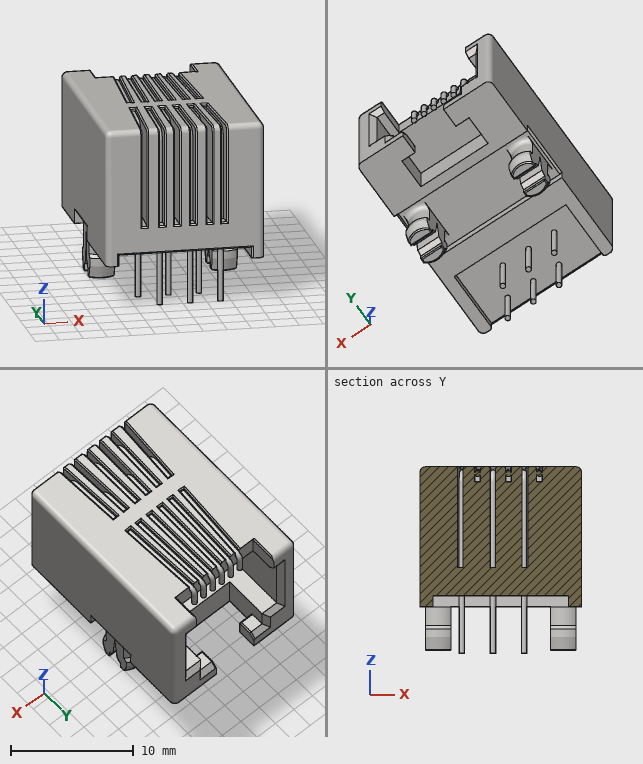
import cadquery as cq
import math

width = 13.2
depth = 18.0
overall_height = 15.25
pin_length = 3.8
height = overall_height - pin_length
edge_radius = 0.5

cavity_width = 9.8
cavity_start_y = 8.5
cavity_floor_z = 3.1
roof_thickness = 1.85
cavity_ceiling_z = height - roof_thickness
mouth_chamfer = 0.48

notch_width = 8.34
notch_start_y = 15.42
notch_edge_bevel = 0.12

latch_width = 6.64
latch_start_y = 13.5
catch_gap = 4.04
catch_start_y = 16.22
catch_top_z = 1.5
catch_chamfer = 0.12

post_y = 10.11
channel_width = 4.95
channel_height = 1.05
channel_rim = 0.2
recess_width = 11.05
recess_height = 0.9
recess_end_y = 5.5
recess_rim = 0.15

post_x = 5.1
post_thickness = 2.1
post_radius = 1.51
barb_radius = 1.79
post_fillet = 0.5
barb_shoulder_z = -1.54
barb_top_z = -1.81
barb_bottom_z = -2.49
post_end_z = -3.58
post_end_chamfer = 0.1
split_half_width = 0.25
split_flare_z = -2.92
split_end_half_width = 0.68

wire_count = 6
wire_diameter = 0.46
pin_pitch = 1.27
contact_pitch = 0.98
pin_row_y = (3.77, 1.23)
wire_depth = 0.5
wire_z = height - wire_depth
pin_bend_radius = 0.75
contact_bend_radius = 0.4
contact_tip_y = 15.98
contact_drop = 0.5
contact_end_z = cavity_ceiling_z - contact_drop

slot_width = 0.42
slot_chamfer = 0.12
front_slot_bottom_z = 3.22
front_slot_end_y = 6.45
rear_slot_start_y = 8.06
slot_overcut = 0.1

tolerance = 0.01


def block(x_range, y_range, z_range):
    """Box spanning the given ranges."""
    size = [high - low for low, high in (x_range, y_range, z_range)]
    corner = (x_range[0], y_range[0], z_range[0])
    return cq.Workplane("XY").box(*size, centered=False).translate(corner)


def centred_block(x_width, y_range, z_range):
    """Box centred on X = 0."""
    return block((-x_width / 2, x_width / 2), y_range, z_range)


def make_shell():
    """Outer block with its upright and top edges rounded."""
    shell = centred_block(width, (0, depth), (0, height))
    return shell.edges("|Z or >Z").fillet(edge_radius)


def cut_plug_opening(body):
    """Cavity with a flared mouth, roof notch and latch channel."""
    cavity = centred_block(cavity_width, (cavity_start_y, depth), (cavity_floor_z, cavity_ceiling_z))
    latch = centred_block(latch_width, (latch_start_y, depth), (0, cavity_floor_z))
    notch = (
        cq.Workplane("XZ", origin=(0, notch_start_y, 0))
        .polyline([
            (-notch_width / 2 - notch_edge_bevel, height),
            (notch_width / 2 + notch_edge_bevel, height),
            (notch_width / 2, height - notch_edge_bevel),
            (notch_width / 2, cavity_ceiling_z),
            (-notch_width / 2, cavity_ceiling_z),
            (-notch_width / 2, height - notch_edge_bevel),
        ])
        .close()
        .extrude(notch_start_y - depth)
    )
    flare = (
        cq.Workplane("XZ", origin=(0, depth, 0))
        .center(0, (cavity_floor_z + cavity_ceiling_z) / 2)
        .rect(cavity_width + 2 * mouth_chamfer, cavity_ceiling_z - cavity_floor_z + 2 * mouth_chamfer)
        .extrude(mouth_chamfer, taper=45)
    )
    latch_flare = (
        cq.Workplane("XY")
        .polyline([
            (-latch_width / 2 - mouth_chamfer, depth),
            (-latch_width / 2, depth - mouth_chamfer),
            (latch_width / 2, depth - mouth_chamfer),
            (latch_width / 2 + mouth_chamfer, depth),
        ])
        .close()
        .extrude(cavity_floor_z)
    )
    for cutter in (cavity, latch, notch, flare, latch_flare):
        body = body.cut(cutter)
    return body


def make_catch(side):
    """Catch beside the latch channel; side is -1 or 1."""
    x_range = sorted((side * catch_gap / 2, side * (latch_width / 2 + mouth_chamfer)))
    catch = block(x_range, (catch_start_y, depth), (0, catch_top_z))
    inner_side = ">X" if side < 0 else "<X"
    catch = catch.faces(">Z").edges(">Y").chamfer(mouth_chamfer)
    catch = catch.faces(inner_side).edges("not(<Z or |Z)").chamfer(catch_chamfer)
    return catch.faces(">Z").edges("<Y").chamfer(catch_chamfer)


def cut_underside(body):
    """Front recess and cross channel, each with a bevelled outer rim."""
    channel_start_y = post_y - channel_width / 2
    channel_end_y = post_y + channel_width / 2
    recess = centred_block(recess_width, (0, recess_end_y), (0, recess_height))
    recess_flare = (
        cq.Workplane("XZ")
        .rect(recess_width + 2 * recess_rim, 2 * (recess_height + recess_rim))
        .extrude(-recess_rim, taper=45)
    )
    channel = centred_block(width, (channel_start_y, channel_end_y), (0, channel_height))
    body = body.cut(recess).cut(recess_flare).cut(channel)
    rim_z = channel_height + channel_rim
    rim = (
        cq.Workplane("XZ", origin=(0, channel_start_y, 0))
        .polyline([
            (width / 2, channel_height),
            (width / 2, rim_z),
            (width / 2 - channel_rim, channel_height),
        ])
        .close()
        .extrude(-channel_width)
    )
    return body.cut(rim).cut(rim.mirror("YZ"))


def make_post():
    """Post on the Z axis."""
    fillet_z = channel_height - post_fillet
    fillet_radius = post_radius + post_fillet
    arc_offset = post_fillet * math.sqrt(0.5)
    peg = (
        cq.Workplane("XZ")
        .moveTo(0, channel_height)
        .lineTo(fillet_radius, channel_height)
        .threePointArc((fillet_radius - arc_offset, fillet_z + arc_offset), (post_radius, fillet_z))
        .lineTo(post_radius, barb_shoulder_z)
        .lineTo(barb_radius, barb_top_z)
        .lineTo(barb_radius, barb_bottom_z)
        .lineTo(post_radius, post_end_z)
        .lineTo(0, post_end_z)
        .close()
        .revolve(360, (0, 0, 0), (0, 1, 0))
    )
    flats = centred_block(post_thickness, (-2 * barb_radius, 2 * barb_radius), (post_end_z, channel_height))
    split = (
        cq.Workplane("YZ")
        .polyline([
            (0, 0),
            (split_half_width, barb_bottom_z),
            (split_end_half_width, split_flare_z),
            (split_end_half_width, post_end_z),
            (-split_end_half_width, post_end_z),
            (-split_end_half_width, split_flare_z),
            (-split_half_width, barb_bottom_z),
        ])
        .close()
        .extrude(post_thickness / 2, both=True)
    )
    post = peg.intersect(flats).cut(split)
    return post.faces("<Z").edges().chamfer(post_end_chamfer)


def wire_layout(index):
    """Pin position, length of the run to the contact tip axis, and heading about Z in degrees."""
    place = index - (wire_count - 1) / 2
    pin_x = place * pin_pitch
    pin_y = pin_row_y[index % 2]
    run_x = place * contact_pitch - pin_x
    run_y = contact_tip_y - wire_diameter / 2 - pin_y
    heading = -math.degrees(math.atan2(run_x, run_y))
    return pin_x, pin_y, math.hypot(run_x, run_y), heading


def place_on_wire(shape, pin_x, pin_y, heading):
    """Turn a shape built along +Y from the pin axis into its place."""
    return shape.rotate((0, 0, 0), (0, 0, 1), heading).translate((pin_x, pin_y, 0))


def make_wire(run):
    """Round wire in the YZ plane with its pin on the Z axis."""
    pin_arc = pin_bend_radius * (1 - math.sqrt(0.5))
    contact_arc = contact_bend_radius * (1 - math.sqrt(0.5))
    path = (
        cq.Workplane("YZ")
        .moveTo(0, -pin_length)
        .lineTo(0, wire_z - pin_bend_radius)
        .threePointArc((pin_arc, wire_z - pin_arc), (pin_bend_radius, wire_z))
        .lineTo(run - contact_bend_radius, wire_z)
        .threePointArc((run - contact_arc, wire_z - contact_arc), (run, wire_z - contact_bend_radius))
        .lineTo(run, contact_end_z)
    )
    return cq.Workplane("XY", origin=(0, 0, -pin_length)).circle(wire_diameter / 2).sweep(path)


def make_slots(pin_y):
    """Slots around one wire, built along +Y from its pin axis."""
    past_front = -pin_y - slot_overcut
    past_notch = notch_start_y - pin_y + slot_overcut
    front = centred_block(slot_width, (past_front, 0), (front_slot_bottom_z, height))
    top = centred_block(slot_width, (0, front_slot_end_y - pin_y), (wire_z, height))
    bend = centred_block(slot_width, (0, pin_bend_radius), (wire_z - pin_bend_radius, height))
    rear = centred_block(slot_width, (rear_slot_start_y - pin_y, past_notch), (wire_z, height))
    return front.union(top).union(bend).union(rear)


def is_slot_mouth(edge):
    """True for the edges where slots break out through the front, the front edge round or the top."""
    point = edge.Center()
    if abs(point.x) > notch_width / 2 or point.z < front_slot_bottom_z - tolerance:
        return False
    if point.y > notch_start_y - tolerance:
        return False
    to_round_y = max(edge_radius - point.y, 0)
    to_round_z = max(point.z - height + edge_radius, 0)
    is_on_surface = math.hypot(to_round_y, to_round_z) > edge_radius - slot_chamfer / 2
    spans_slots = edge.BoundingBox().xlen > 2 * slot_width
    return is_on_surface and not spans_slots


def cut_slots(body):
    """Cut every slot and bevel its mouth."""
    for index in range(wire_count):
        pin_x, pin_y, _, heading = wire_layout(index)
        body = body.cut(place_on_wire(make_slots(pin_y), pin_x, pin_y, heading))
    return body.edges().filter(is_slot_mouth).chamfer(slot_chamfer)


def add_wires(body):
    """Lay the wires in their slots."""
    for index in range(wire_count):
        pin_x, pin_y, run, heading = wire_layout(index)
        body = body.union(place_on_wire(make_wire(run), pin_x, pin_y, heading))
    return body


housing = cut_underside(cut_plug_opening(make_shell()))
for side in (-1, 1):
    housing = housing.union(make_catch(side))
    housing = housing.union(make_post().translate((side * post_x, post_y, 0)))
result = add_wires(cut_slots(housing))